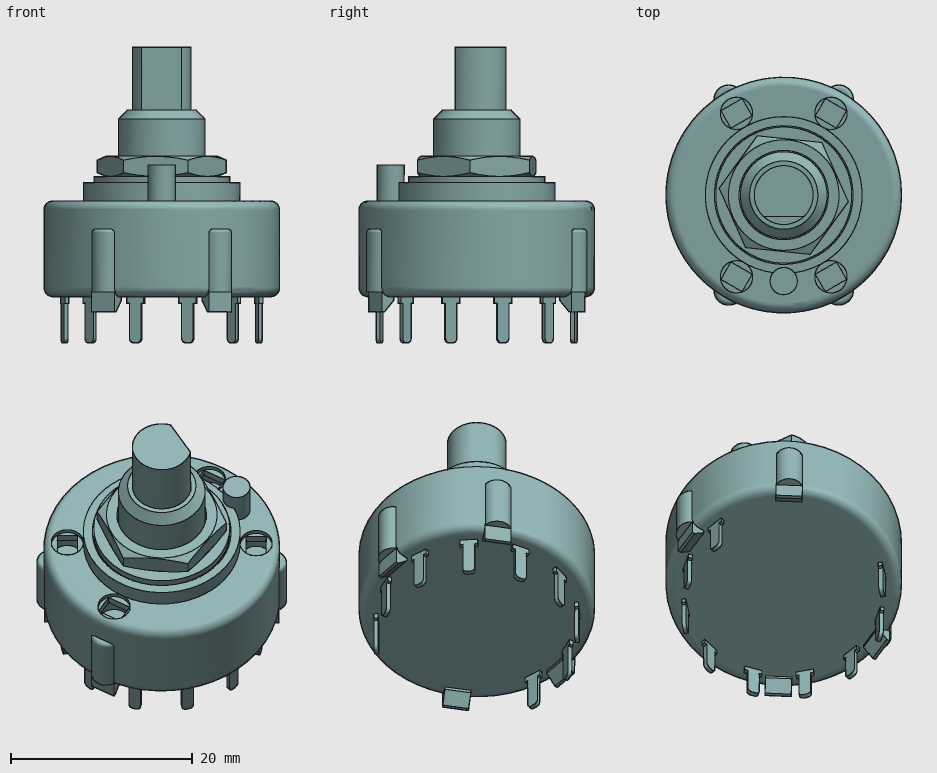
import cadquery as cq


OVERLAP = 0.33

BODY_DIAMETER = 26.0
BODY_HEIGHT = 10.55
BODY_FILLET = 1.0
FLANGE_DIAMETER = 17.28
FLANGE_TOP = 12.6

WASHER_DIAMETER = 15.0
WASHER_TOP = 13.25
SEAT_DIAMETER = 15.3
SEAT_DEPTH = 0.15

BUSHING_DIAMETER = 9.55
BUSHING_TOP = 20.6
BUSHING_CHAMFER = 1.0
SHAFT_DIAMETER = 6.5
SHAFT_FLAT_OFFSET = 2.38
SHAFT_FLAT_BOTTOM = 19.55
OVERALL_HEIGHT = 32.6
PIN_TIP = -5.1
SHAFT_TOP = OVERALL_HEIGHT + PIN_TIP

NUT_CORNER_DIAMETER = 14.3
NUT_FACE_DIAMETER = 12.2
NUT_BORE_DIAMETER = 9.85
NUT_TOP = 15.52
NUT_CHAMFER_HEIGHT = 0.45
NUT_ROTATION = -6.0

PEG_DIAMETER = 3.0
PEG_OFFSET = 9.5
PEG_TOP = 14.55

SNAP_ANGLES = (60, 120, 240, 300)
HOLE_DIAMETER = 3.55
HOLE_RADIUS = 10.4
HOLE_DEPTH = 0.5
POCKET_LENGTH = 2.7
POCKET_WIDTH = 2.22
POCKET_DEPTH = 1.37
CHAMBER_DEPTH = 2.77
RIB_DIAMETER = 3.25
RIB_RADIUS = 12.13
RIB_BOTTOM = 0.55
RIB_TOP = 7.5
RIB_FILLET = 0.45
HOOK_WIDTH = 2.9
HOOK_OUTER = 12.9
HOOK_ROOT_DEPTH = 1.53
HOOK_TIP_DEPTH = 0.33
HOOK_BEVEL_TOP = -0.4
HOOK_BOTTOM = -1.65

PIN_COUNT = 9
PIN_PITCH = 30
FIRST_PIN_ANGLE = 15
PIN_RADIUS = 11.1
PIN_THICKNESS = 0.45
PIN_WIDTH = 1.3
PIN_TIP_FILLET = 0.52
SHOULDER_WIDTH = 1.95
SHOULDER_BOTTOM = -0.72


def cylinder(diameter, bottom, top, x=0.0, y=0.0):
    """Vertical cylinder between two heights."""
    base = cq.Workplane("XY", origin=(x, y, bottom))
    return base.circle(diameter / 2).extrude(top - bottom)


def box_between(length, width, bottom, top, x=0.0):
    """Box centred on (x, 0): length along X, width along Y."""
    base = cq.Workplane("XY", origin=(x, 0, bottom))
    return base.rect(length, width).extrude(top - bottom)


def turned(shape, angle):
    """Copy of the shape turned about the shaft axis."""
    return shape.rotate((0, 0, 0), (0, 0, 1), angle)


def make_housing():
    body = cylinder(BODY_DIAMETER, 0, BODY_HEIGHT).edges().fillet(BODY_FILLET)
    flange = cylinder(FLANGE_DIAMETER, BODY_HEIGHT - OVERLAP, FLANGE_TOP)
    seat = cylinder(SEAT_DIAMETER, FLANGE_TOP - SEAT_DEPTH, FLANGE_TOP)
    washer = cylinder(WASHER_DIAMETER, FLANGE_TOP - SEAT_DEPTH, WASHER_TOP)
    peg = cylinder(PEG_DIAMETER, BODY_HEIGHT - OVERLAP, PEG_TOP, y=-PEG_OFFSET)
    return body.union(flange).cut(seat).union(washer).union(peg)


def make_bushing_and_shaft():
    bushing = cylinder(BUSHING_DIAMETER, FLANGE_TOP, BUSHING_TOP)
    bushing = bushing.faces(">Z").chamfer(BUSHING_CHAMFER)
    bore = cylinder(SHAFT_DIAMETER, SHAFT_FLAT_BOTTOM, BUSHING_TOP)
    shaft = cylinder(SHAFT_DIAMETER, FLANGE_TOP, SHAFT_TOP)
    flat_depth = SHAFT_DIAMETER / 2
    flat = (
        cq.Workplane("XY", origin=(0, -SHAFT_FLAT_OFFSET - flat_depth / 2, SHAFT_FLAT_BOTTOM))
        .rect(SHAFT_DIAMETER, flat_depth)
        .extrude(SHAFT_TOP - SHAFT_FLAT_BOTTOM)
    )
    return bushing.cut(bore).union(shaft.cut(flat))


def make_nut():
    hexagon = (
        cq.Workplane("XY", origin=(0, 0, WASHER_TOP))
        .polygon(6, NUT_CORNER_DIAMETER)
        .extrude(NUT_TOP - WASHER_TOP)
    )
    corner_radius = NUT_CORNER_DIAMETER / 2
    face_radius = NUT_FACE_DIAMETER / 2
    bore_radius = NUT_BORE_DIAMETER / 2
    envelope = (
        cq.Workplane("XZ")
        .moveTo(bore_radius, WASHER_TOP)
        .lineTo(face_radius, WASHER_TOP)
        .lineTo(corner_radius, WASHER_TOP + NUT_CHAMFER_HEIGHT)
        .lineTo(corner_radius, NUT_TOP - NUT_CHAMFER_HEIGHT)
        .lineTo(face_radius, NUT_TOP)
        .lineTo(bore_radius, NUT_TOP)
        .close()
        .revolve(360, (0, 0, 0), (0, 1, 0))
    )
    return turned(hexagon.intersect(envelope), NUT_ROTATION)


def make_snap_recess():
    """Round recess, rectangular opening and round chamber under it, on the +X axis."""
    recess = cylinder(HOLE_DIAMETER, BODY_HEIGHT - HOLE_DEPTH, BODY_HEIGHT, x=HOLE_RADIUS)
    pocket_floor = BODY_HEIGHT - POCKET_DEPTH
    pocket = box_between(POCKET_WIDTH, POCKET_LENGTH, pocket_floor, BODY_HEIGHT, x=HOLE_RADIUS)
    chamber = cylinder(HOLE_DIAMETER, BODY_HEIGHT - CHAMBER_DEPTH, pocket_floor, x=HOLE_RADIUS)
    return recess.union(pocket).union(chamber)


def make_snap_rib_and_hook():
    """Rounded wall rib and the bevelled hook below it, on the +X axis."""
    rib = cylinder(RIB_DIAMETER, RIB_BOTTOM, RIB_TOP, x=RIB_RADIUS)
    rib = rib.faces(">Z").edges().fillet(RIB_FILLET)
    hook_root = HOOK_OUTER - HOOK_ROOT_DEPTH
    hook = (
        cq.Workplane("XZ")
        .moveTo(HOOK_OUTER, RIB_BOTTOM)
        .lineTo(HOOK_OUTER, HOOK_BOTTOM)
        .lineTo(HOOK_OUTER - HOOK_TIP_DEPTH, HOOK_BOTTOM)
        .lineTo(hook_root, HOOK_BEVEL_TOP)
        .lineTo(hook_root, RIB_BOTTOM)
        .close()
        .extrude(HOOK_WIDTH / 2, both=True)
    )
    return rib.union(hook)


def make_pin():
    """Flat terminal with a shouldered root and a rounded tip, on the +X axis."""
    blade = box_between(PIN_THICKNESS, PIN_WIDTH, PIN_TIP, SHOULDER_BOTTOM, x=PIN_RADIUS)
    blade = blade.faces("<Z").edges("|X").fillet(PIN_TIP_FILLET)
    shoulder = box_between(PIN_THICKNESS, SHOULDER_WIDTH, SHOULDER_BOTTOM, OVERLAP, x=PIN_RADIUS)
    return blade.union(shoulder)


result = make_housing().union(make_bushing_and_shaft()).union(make_nut())

for snap_angle in SNAP_ANGLES:
    result = result.cut(turned(make_snap_recess(), snap_angle))
    result = result.union(turned(make_snap_rib_and_hook(), snap_angle))

for index in range(PIN_COUNT):
    result = result.union(turned(make_pin(), FIRST_PIN_ANGLE + index * PIN_PITCH))